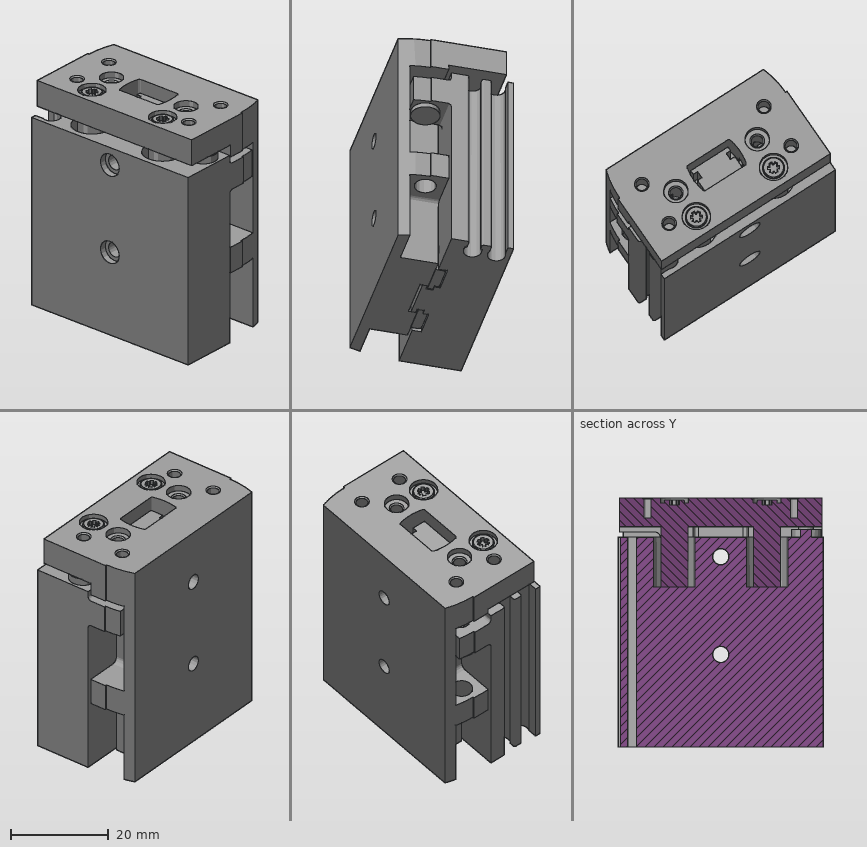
import cadquery as cq
import math

TOTAL_HEIGHT = 51.0
TOTAL_DEPTH = 24.0
HOUSING_WIDTH = 42.0
HOUSING_HEIGHT = 43.0
HOUSING_DEPTH = 13.15
HALF_HOUSING = HOUSING_WIDTH / 2

TABLE_HALF_WIDTH = 20.75
BACK_HALF_WIDTH = 19.35
FLANK_START_Y = 17.45
FLANK_STEP = 0.35
FLANK_RUN = TOTAL_DEPTH - FLANK_START_Y
FLANK_DROP = TABLE_HALF_WIDTH - FLANK_STEP - BACK_HALF_WIDTH
FLANK_RADIUS = (FLANK_RUN**2 + FLANK_DROP**2) / (2 * FLANK_DROP)

RAIL_HALF_WIDTH = 4.6
RAIL_FRONT_Y = 9.4
RAIL_BACK_Y = 14.95
RAIL_TOP_Z = 48.2
GROOVE_DEPTH = 1.05
GROOVE_FRONT_Y = 12.45
GROOVE_BACK_Y = 13.95

MOUNT_HOLE_DIAMETER = 3.25
MOUNT_HEAD_DIAMETER = 5.0
MOUNT_HEAD_DEPTH = 1.55
MOUNT_HOLE_HEIGHTS = (18.95, 38.95)

ROD_X = 9.5
ROD_Y = 5.5
ROD_DIAMETER = 5.8
BORE_DIAMETER = 8.55
BORE_DEPTH = 10.2

EAR_BOTTOM_Z = 35.0
EAR_TOP_Z = 41.0
EAR_BACK_Y = 21.0
EAR_INNER_X = 13.5
EAR_FILLET = 0.85

STOP_FLANGE_DIAMETER = 6.0
STOP_TIP_DIAMETER = 3.0
STOP_FLANGE_HEIGHT = 1.0
EAR_STOP_X = 17.05
EAR_STOP_Y = 17.65
EAR_HOLE_DEPTH = 2.55
TOP_STOP_X = 17.45
TOP_STOP_Y = 9.05
TOP_STOP_HEIGHT = 1.6

CHANNEL_HALF_WIDTH = 10.5
CHANNEL_FLOOR_Y = 11.2
RIB_SETBACK = 0.4
RIB_BACK_Y = 6.55
RIB_FRONT_Y = 4.55
RIB_FILLET = 0.4
MOUTH_FILLET = 0.4
FLANGE_THICKNESS = 1.2
BACK_SLOT_LIMIT_Y = 9.4
SLOT_LIP_DEPTH = 2.05
SLOT_DIAMETER = 3.7
SLOT_DEPTH = 4.85
SLOT_CENTRE_X = -HALF_HOUSING + SLOT_DEPTH - SLOT_DIAMETER / 2
LUG_BOTTOM_Z = 3.9
LUG_TOP_Z = 5.5
LUG_WIDTH = 0.6

PLATE_BOTTOM_Z = 45.1
PLATE_FRONT_Y = 1.45
WEB_FRONT_Y = 13.65
WEB_HALF_WIDTH = 12.3
BACK_WALL_Y = 21.7
LEG_HALF_WIDTH = 9.95
LEG_TOP_FRONT_Y = 12.45
LEG_FRONT_Y = 11.4
LEG_BOTTOM_Z = 0.25
LEG_CHAMFER = 0.4
CHANNEL_BACK_Y = 15.5
CROSSBAR_BOTTOM_Z = 15.75
CROSSBAR_TOP_Z = 21.6
CROSSBAR_HOLE_DIAMETER = 4.5
LEFT_WINDOW_TOP_Z = 44.0
RIGHT_WINDOW_TOP_Z = 42.35
WINDOW_FILLET = 1.3

OPENING_FRONT_Y = 9.05
OPENING_BACK_Y = 15.5
OPENING_HALF_WIDTH = 5.65
OPENING_END_HALF_WIDTH = 5.2
OPENING_CORNER_RADIUS = 0.4

THREAD_X = 15.0
THREAD_YS = (7.3, 17.35)
THREAD_DIAMETER = 2.45
THREAD_MOUTH_DIAMETER = 3.0
THREAD_DEPTH = 4.1
GUIDE_HOLE_X = 10.0
GUIDE_HOLE_Y = 12.3
GUIDE_HOLE_DIAMETER = 2.45
GUIDE_MOUTH_DIAMETER = 3.0
GUIDE_HEAD_DIAMETER = 5.0
GUIDE_HEAD_DEPTH = 1.35
SCREW_RECESS_DEPTH = 1.0
SCREW_HEAD_DIAMETER = 4.5
SCREW_HEAD_HEIGHT = 0.6
SCREW_HEAD_CHAMFER = 0.2
SOCKET_TIP_DIAMETER = 2.45
SOCKET_ROOT_DIAMETER = 1.65
SOCKET_LOBES = 6
SOCKET_LOBE_WIDTH = 0.65
SOCKET_DEPTH = 1.0


def block(x0, x1, y0, y1, z0, z1):
    """Box between two opposite corners."""
    return cq.Workplane("XY").box(x1 - x0, y1 - y0, z1 - z0, centered=False).translate((x0, y0, z0))


def upright(x, y, diameter, z0, z1):
    """Cylinder along Z between two heights."""
    return cq.Workplane("XY", origin=(x, y, z0)).circle(diameter / 2).extrude(z1 - z0)


def chamfered_hole(x, y, diameter, mouth_diameter, z0, z1):
    """Cutter for a hole whose upper rim is chamfered at 45 degrees."""
    chamfer = (mouth_diameter - diameter) / 2
    cone = (
        cq.Workplane("XY", origin=(x, y, z1))
        .circle(mouth_diameter / 2)
        .workplane(offset=-chamfer)
        .circle(diameter / 2)
        .loft()
    )
    return upright(x, y, diameter, z0, z1).union(cone)


def rounded_flank_prism(half_width, front_y, back_y, z0, z1):
    """Prism with a straight front whose two flanks step and curve inward towards the back."""
    def flank_x(y):
        run = y - FLANK_START_Y
        return half_width - FLANK_STEP - FLANK_RADIUS + math.sqrt(FLANK_RADIUS**2 - run**2)

    middle_y = (FLANK_START_Y + back_y) / 2
    return (
        cq.Workplane("XY", origin=(0, 0, z0))
        .moveTo(-half_width, front_y)
        .lineTo(half_width, front_y)
        .lineTo(half_width, FLANK_START_Y)
        .lineTo(flank_x(FLANK_START_Y), FLANK_START_Y)
        .threePointArc((flank_x(middle_y), middle_y), (flank_x(back_y), back_y))
        .lineTo(-flank_x(back_y), back_y)
        .threePointArc((-flank_x(middle_y), middle_y), (-flank_x(FLANK_START_Y), FLANK_START_Y))
        .lineTo(-half_width, FLANK_START_Y)
        .close()
        .extrude(z1 - z0)
    )


def mount_holes(head_depth):
    """Cutters for the mounting holes along Y, counterbored at the front when head_depth is given."""
    holes = cq.Workplane("XY")
    for z in MOUNT_HOLE_HEIGHTS:
        front = cq.Workplane("XZ", origin=(0, 0, z))
        holes = holes.add(front.circle(MOUNT_HOLE_DIAMETER / 2).extrude(-TOTAL_DEPTH))
        if head_depth:
            holes = holes.add(front.circle(MOUNT_HEAD_DIAMETER / 2).extrude(-head_depth))
    return holes.combine()


def rail_section(back_y):
    """Rail shape, grooved along both sides, with its back face at back_y."""
    rail = block(-RAIL_HALF_WIDTH, RAIL_HALF_WIDTH, RAIL_FRONT_Y, back_y, 0, RAIL_TOP_Z)
    groove_x = RAIL_HALF_WIDTH - GROOVE_DEPTH
    for x0, x1 in ((-RAIL_HALF_WIDTH, -groove_x), (groove_x, RAIL_HALF_WIDTH)):
        rail = rail.cut(block(x0, x1, GROOVE_FRONT_Y, GROOVE_BACK_Y, 0, RAIL_TOP_Z))
    return rail


def sensor_slot(front_y, back_y):
    """Cutter for a keyhole-shaped slot with a round floor, running up the -X side."""
    centre_y = (front_y + back_y) / 2
    mouth = block(-HALF_HOUSING, SLOT_CENTRE_X, front_y, back_y, 0, HOUSING_HEIGHT)
    return mouth.union(upright(SLOT_CENTRE_X, centre_y, SLOT_DIAMETER, 0, HOUSING_HEIGHT))


def slot_undercut(centre_y):
    """Cutter that widens a sensor slot behind its lips to the width of its round floor."""
    radius = SLOT_DIAMETER / 2
    lip_x = -HALF_HOUSING + SLOT_LIP_DEPTH
    return block(lip_x, SLOT_CENTRE_X, centre_y - radius, centre_y + radius, 0, HOUSING_HEIGHT)


def housing_block():
    """Main block with its guide channel, sensor slots and rib."""
    body = block(-HALF_HOUSING, HALF_HOUSING, 0, HOUSING_DEPTH, 0, HOUSING_HEIGHT)
    body = body.cut(
        block(-CHANNEL_HALF_WIDTH, CHANNEL_HALF_WIDTH, CHANNEL_FLOOR_Y, HOUSING_DEPTH, 0, HOUSING_HEIGHT)
    )
    rib_x = -HALF_HOUSING + RIB_SETBACK
    body = body.cut(block(-HALF_HOUSING, rib_x, RIB_FRONT_Y, RIB_BACK_Y, 0, HOUSING_HEIGHT))
    body = body.cut(sensor_slot(FLANGE_THICKNESS, RIB_FRONT_Y))
    body = body.cut(sensor_slot(RIB_BACK_Y, BACK_SLOT_LIMIT_Y))
    body = body.cut(slot_undercut((RIB_BACK_Y + BACK_SLOT_LIMIT_Y) / 2))
    rib_edges = cq.selectors.BoxSelector(
        (rib_x - RIB_SETBACK / 2, RIB_FRONT_Y - RIB_FILLET, 0),
        (rib_x + RIB_SETBACK / 2, RIB_BACK_Y + RIB_FILLET, HOUSING_HEIGHT),
    )
    body = body.edges("|Z").edges(rib_edges).fillet(RIB_FILLET)
    mouth_edge = cq.selectors.NearestToPointSelector((-HALF_HOUSING, BACK_SLOT_LIMIT_Y, HOUSING_HEIGHT / 2))
    return body.edges("|Z").edges(mouth_edge).fillet(MOUTH_FILLET)


def housing_ears():
    """The two ears that reach back from the housing, each blended into its back face."""
    ears = rounded_flank_prism(HALF_HOUSING, HOUSING_DEPTH, EAR_BACK_Y, EAR_BOTTOM_Z, EAR_TOP_Z)
    ears = ears.cut(block(-EAR_INNER_X, EAR_INNER_X, HOUSING_DEPTH, EAR_BACK_Y, EAR_BOTTOM_Z, EAR_TOP_Z))
    for x0, x1 in ((-HALF_HOUSING, -EAR_INNER_X), (EAR_INNER_X, HALF_HOUSING)):
        blend_y = HOUSING_DEPTH + EAR_FILLET
        blend_bottom = EAR_BOTTOM_Z - EAR_FILLET
        blend_top = EAR_TOP_Z + EAR_FILLET
        blend = block(x0, x1, HOUSING_DEPTH, blend_y, blend_bottom, blend_top)
        for z in (blend_bottom, blend_top):
            round_cut = cq.Workplane("YZ", origin=(x0, blend_y, z)).circle(EAR_FILLET).extrude(x1 - x0)
            blend = blend.cut(round_cut)
        ears = ears.union(blend)
    return ears


def shock_stops():
    """Stop under the left ear and tipped stop on top of the block at the right."""
    ear_flange_z = EAR_BOTTOM_Z - STOP_FLANGE_HEIGHT
    top_flange_z = HOUSING_HEIGHT + TOP_STOP_HEIGHT
    stops = upright(-EAR_STOP_X, EAR_STOP_Y, STOP_FLANGE_DIAMETER, ear_flange_z, EAR_BOTTOM_Z)
    stops = stops.union(upright(TOP_STOP_X, TOP_STOP_Y, STOP_FLANGE_DIAMETER, HOUSING_HEIGHT, top_flange_z))
    return stops.union(upright(TOP_STOP_X, TOP_STOP_Y, STOP_TIP_DIAMETER, top_flange_z, PLATE_BOTTOM_Z))


def guide_lug():
    """Small lug on the back face, beside the guide channel, that meets the web of the table."""
    lug_x = -CHANNEL_HALF_WIDTH - LUG_WIDTH
    return block(lug_x, -CHANNEL_HALF_WIDTH, HOUSING_DEPTH, WEB_FRONT_Y, LUG_BOTTOM_Z, LUG_TOP_Z)


def build_housing():
    """Housing with ears, rail, stops, cylinder bores and mounting holes."""
    body = housing_block().union(housing_ears()).union(rail_section(RAIL_BACK_Y))
    body = body.union(shock_stops()).union(guide_lug())
    for x in (-ROD_X, ROD_X):
        body = body.cut(upright(x, ROD_Y, BORE_DIAMETER, HOUSING_HEIGHT - BORE_DEPTH, HOUSING_HEIGHT))
    ear_hole_z = EAR_TOP_Z - EAR_HOLE_DEPTH
    body = body.cut(upright(-EAR_STOP_X, EAR_STOP_Y, STOP_TIP_DIAMETER, ear_hole_z, EAR_TOP_Z))
    return body.cut(mount_holes(MOUNT_HEAD_DEPTH))


def side_window(x_outer, x_web, z0, z1, rounded):
    """Cutter for a window between web and flank; the web edges at the heights in `rounded` are filleted."""
    window = block(min(x_outer, x_web), max(x_outer, x_web), WEB_FRONT_Y, BACK_WALL_Y, z0, z1)
    for z in rounded:
        web_edge = cq.selectors.NearestToPointSelector((x_web, (WEB_FRONT_Y + BACK_WALL_Y) / 2, z))
        window = window.edges("|Y").edges(web_edge).fillet(WINDOW_FILLET)
    return window


def table_shell():
    """Plate on top of an upright back, opened by two windows on each side of the central web."""
    shell = rounded_flank_prism(TABLE_HALF_WIDTH, WEB_FRONT_Y, TOTAL_DEPTH, 0, TOTAL_HEIGHT)
    plate = block(
        -TABLE_HALF_WIDTH, TABLE_HALF_WIDTH, PLATE_FRONT_Y, WEB_FRONT_Y, PLATE_BOTTOM_Z, TOTAL_HEIGHT
    )
    shell = shell.union(plate)
    for side, window_top in ((-1, LEFT_WINDOW_TOP_Z), (1, RIGHT_WINDOW_TOP_Z)):
        outer, web = side * HALF_HOUSING, side * WEB_HALF_WIDTH
        shell = shell.cut(side_window(outer, web, 0, CROSSBAR_BOTTOM_Z, (CROSSBAR_BOTTOM_Z,)))
        shell = shell.cut(
            side_window(outer, web, CROSSBAR_TOP_Z, window_top, (CROSSBAR_TOP_Z, window_top))
        )
    crossbar_hole = upright(
        -EAR_STOP_X, EAR_STOP_Y, CROSSBAR_HOLE_DIAMETER, CROSSBAR_BOTTOM_Z, CROSSBAR_TOP_Z
    )
    return shell.cut(crossbar_hole)


def guide_legs():
    """Guide block on the web, cut out to run along the rail."""
    legs = block(
        -LEG_HALF_WIDTH, LEG_HALF_WIDTH, LEG_FRONT_Y, WEB_FRONT_Y, LEG_BOTTOM_Z, HOUSING_HEIGHT
    ).edges("|Z and <Y").chamfer(LEG_CHAMFER)
    neck = block(
        -LEG_HALF_WIDTH, LEG_HALF_WIDTH, LEG_TOP_FRONT_Y, WEB_FRONT_Y, HOUSING_HEIGHT, PLATE_BOTTOM_Z
    )
    return legs.union(neck)


def plate_opening():
    """Cutter above the rail, with straight front and back and bowed ends."""
    middle_y = (OPENING_FRONT_Y + OPENING_BACK_Y) / 2
    return (
        cq.Workplane("XY", origin=(0, 0, HOUSING_HEIGHT))
        .moveTo(-OPENING_END_HALF_WIDTH, OPENING_FRONT_Y)
        .lineTo(OPENING_END_HALF_WIDTH, OPENING_FRONT_Y)
        .threePointArc((OPENING_HALF_WIDTH, middle_y), (OPENING_END_HALF_WIDTH, OPENING_BACK_Y))
        .lineTo(-OPENING_END_HALF_WIDTH, OPENING_BACK_Y)
        .threePointArc((-OPENING_HALF_WIDTH, middle_y), (-OPENING_END_HALF_WIDTH, OPENING_FRONT_Y))
        .close()
        .extrude(TOTAL_HEIGHT - HOUSING_HEIGHT)
        .edges("|Z")
        .fillet(OPENING_CORNER_RADIUS)
    )


def plate_holes():
    """Cutters for the threaded corner holes and the counterbored guide holes."""
    holes = cq.Workplane("XY")
    for x in (-THREAD_X, THREAD_X):
        for y in THREAD_YS:
            holes = holes.add(
                chamfered_hole(
                    x, y, THREAD_DIAMETER, THREAD_MOUTH_DIAMETER, TOTAL_HEIGHT - THREAD_DEPTH, TOTAL_HEIGHT
                )
            )
    head_floor_z = TOTAL_HEIGHT - GUIDE_HEAD_DEPTH
    for x in (-GUIDE_HOLE_X, GUIDE_HOLE_X):
        holes = holes.add(upright(x, GUIDE_HOLE_Y, GUIDE_HEAD_DIAMETER, head_floor_z, TOTAL_HEIGHT))
        holes = holes.add(
            chamfered_hole(
                x, GUIDE_HOLE_Y, GUIDE_HOLE_DIAMETER, GUIDE_MOUTH_DIAMETER, HOUSING_HEIGHT, head_floor_z
            )
        )
    return holes.combine()


def star_socket(x, y, z):
    """Cutter for a six-lobed screw socket opening upward at height z."""
    socket = upright(x, y, SOCKET_ROOT_DIAMETER, z - SOCKET_DEPTH, z)
    for lobe in range(SOCKET_LOBES // 2):
        bar = (
            cq.Workplane("XY")
            .box(SOCKET_LOBE_WIDTH, SOCKET_TIP_DIAMETER, SOCKET_DEPTH)
            .rotate((0, 0, 0), (0, 0, 1), lobe * 360 / SOCKET_LOBES)
            .translate((x, y, z - SOCKET_DEPTH / 2))
        )
        socket = socket.union(bar)
    return socket


def add_rod(table, x):
    """Piston rod under the plate with its screw head sunk in the top face."""
    recess_floor_z = TOTAL_HEIGHT - SCREW_RECESS_DEPTH
    head_top_z = recess_floor_z + SCREW_HEAD_HEIGHT
    rod = upright(x, ROD_Y, ROD_DIAMETER, HOUSING_HEIGHT - BORE_DEPTH, PLATE_BOTTOM_Z)
    recess = upright(x, ROD_Y, ROD_DIAMETER, recess_floor_z, TOTAL_HEIGHT)
    head = upright(x, ROD_Y, SCREW_HEAD_DIAMETER, recess_floor_z, head_top_z)
    head = head.faces(">Z").chamfer(SCREW_HEAD_CHAMFER)
    return table.union(rod).cut(recess).union(head).cut(star_socket(x, ROD_Y, head_top_z))


def build_table():
    """Sliding table with its guide channel, plate holes and piston rods."""
    table = table_shell().union(guide_legs())
    table = table.cut(rail_section(CHANNEL_BACK_Y)).cut(plate_opening())
    table = table.cut(plate_holes()).cut(mount_holes(0))
    for x in (-ROD_X, ROD_X):
        table = add_rod(table, x)
    return table


housing = build_housing()
table = build_table()

result = cq.Compound.makeCompound([housing.solids().val(), table.solids().val()])